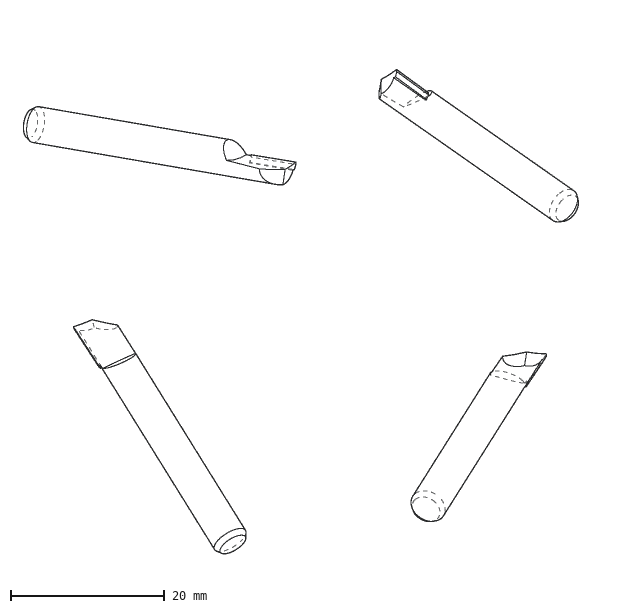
import cadquery as cq

length = 38.1
radius = 2.38
over = 3.8

lead_length = 0.75
lead_depth = 0.45

wall_top_x = 29.3
wall_foot_x = 30.5
wall_foot_z = 0.55
face_half_width = 2.8
back_heights = (0.7, 0.1, 0.0)
tip_heights = (-0.05, -0.25, 0.0)

lip_start_x = 31.47
lip_start_y = 2.63
tip_y = 2.762
lip_top_z = 0.08
lip_edge_z = -0.35
lip_bottom_z = -1.0
lip_undercut = 0.285
lip_root_y = 1.52

nose_start_x = 35.5
nose_end_x = 38.02
nose_end_y = 0.1
end_yaw_ratio = 0.04
end_relief_ratio = 0.1


def make_shank():
    profile = [
        (0, 0),
        (0, radius - lead_depth),
        (lead_length, radius),
        (length, radius),
        (length, 0),
    ]
    return cq.Workplane("XY").polyline(profile).close().revolve(360, (0, 0), (1, 0))


def lip_section(outer_y):
    """Section of the lip, with its relief below the cutting edge."""
    return [
        (lip_root_y, lip_top_z),
        (outer_y, lip_top_z),
        (outer_y, lip_edge_z),
        (outer_y - lip_undercut, lip_bottom_z),
        (lip_root_y, lip_bottom_z),
    ]


def make_lip():
    """Lip widening from its start to the tip."""
    return (
        cq.Workplane("YZ", origin=(lip_start_x, 0, 0))
        .polyline(lip_section(lip_start_y))
        .close()
        .workplane(offset=length - lip_start_x)
        .polyline(lip_section(tip_y))
        .close()
        .loft(ruled=True, combine=True)
    )


def trough_section(plane, heights):
    """Section above the chip face: a hollow floor under a flat top."""
    minus_y_edge, middle, plus_y_edge = heights
    return (
        plane.moveTo(-face_half_width, minus_y_edge)
        .threePointArc((0, middle), (face_half_width, plus_y_edge))
        .lineTo(face_half_width, over)
        .lineTo(-face_half_width, over)
        .close()
    )


def make_notch():
    """Space over the twisted chip face, in front of a leaning wall."""
    trough_length = length - wall_top_x
    first = trough_section(cq.Workplane("YZ", origin=(wall_top_x, 0, 0)), back_heights)
    second = first.workplane(offset=trough_length)
    trough = trough_section(second, tip_heights).loft(ruled=True, combine=True)
    wall_run = (wall_foot_x - wall_top_x) / (radius - wall_foot_z)
    wall_front = [
        (wall_foot_x - wall_run * over, wall_foot_z + over),
        (wall_foot_x + wall_run * over, wall_foot_z - over),
        (length + over, wall_foot_z - over),
        (length + over, wall_foot_z + over),
    ]
    ahead = cq.Workplane("XZ").polyline(wall_front).close().extrude(2 * over, both=True)
    return trough.intersect(ahead)


def make_nose_cut():
    """Corner removed from the -Y side of the nose by an upright plane."""
    slope = (nose_end_y + radius) / (nose_end_x - nose_start_x)
    corner = [
        (nose_start_x - over, -radius - over * slope),
        (nose_end_x + over, nose_end_y + over * slope),
        (nose_end_x + over, -radius - over * slope),
    ]
    return cq.Workplane("XY").polyline(corner).close().extrude(over, both=True)


def make_end_cut():
    """Leaning end face that passes through the cutting tip."""
    end_plane = cq.Plane(
        origin=(length, tip_y, tip_heights[-1]),
        xDir=(end_yaw_ratio, 1, 0),
        normal=(1, -end_yaw_ratio, -end_relief_ratio),
    )
    return cq.Workplane(end_plane).rect(6 * over, 6 * over).extrude(2 * over)


result = (
    make_shank()
    .union(make_lip())
    .cut(make_notch())
    .cut(make_nose_cut())
    .cut(make_end_cut())
)